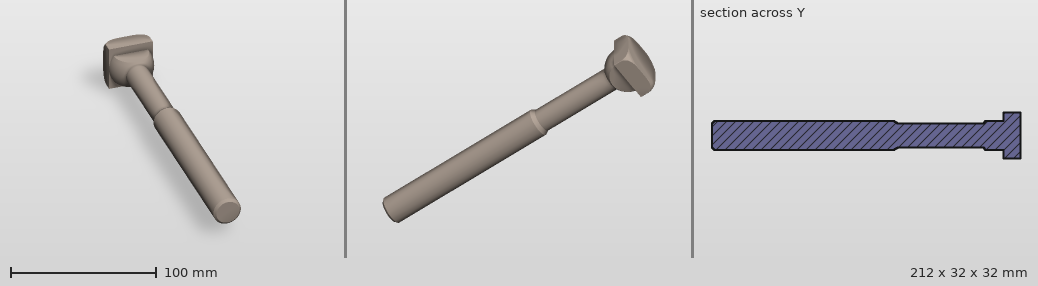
import cadquery as cq
import math


head_width = 32.0
head_thickness = 12.0
turned_diameter = 44.8
turned_rim_radius = 6.2

ball_radius = head_width / 2
neck_thickness = 20.0

length_under_head = 200.0
thread_length = 125.0
thread_diameter = 20.0
shank_diameter = 16.6
step_angle = 30.0

total_length = head_thickness + length_under_head
thread_start = total_length - thread_length
thread_radius = thread_diameter / 2
shank_radius = shank_diameter / 2
thread_depth = thread_radius - shank_radius


def make_head():
    """Square plate cut by a round blank with a rounded front rim, which trims the four corners."""
    plate = cq.Workplane("YZ").rect(head_width, head_width).extrude(head_thickness)
    turned_blank = (
        cq.Workplane("YZ")
        .circle(turned_diameter / 2)
        .extrude(head_thickness)
        .faces("<X")
        .edges()
        .fillet(turned_rim_radius)
    )
    return plate.intersect(turned_blank)


def make_neck():
    """Half ball centred on the underside of the head, cut by two flats."""
    ball = cq.Workplane("XY").sphere(ball_radius).translate((head_thickness, 0, 0))
    slab = (
        cq.Workplane("XY")
        .box(ball_radius, 2 * ball_radius, neck_thickness, centered=(False, True, True))
        .translate((head_thickness, 0, 0))
    )
    return ball.intersect(slab)


def make_shank():
    """Plain shank, conical step, thread-size rod and chamfered end."""
    step_start = thread_start - thread_depth / math.tan(math.radians(step_angle))
    chamfer_start = total_length - thread_depth
    outline = [
        (head_thickness, 0),
        (head_thickness, shank_radius),
        (step_start, shank_radius),
        (thread_start, thread_radius),
        (chamfer_start, thread_radius),
        (total_length, shank_radius),
        (total_length, 0),
    ]
    return cq.Workplane("XY").polyline(outline).close().revolve(360, (0, 0, 0), (1, 0, 0))


result = make_head().union(make_neck()).union(make_shank())